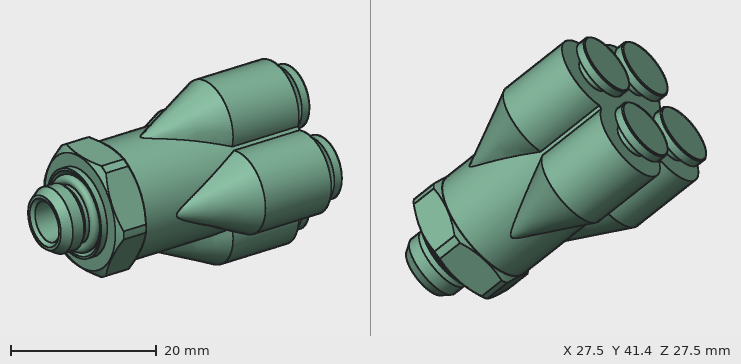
import cadquery as cq
import math


total_length = 41.4
thread_start = 1.4
thread_end = 3.25
neck_start = 3.97
collar_start = 5.0
hex_start = 6.0
hex_end = 11.05
outlet_start = 27.45
outlet_end = 38.5
cap_start = 40.0

tip_radius = 3.95
thread_radius = 4.8
neck_radius = 4.15
bore_radius = 2.95
bore_mouth_radius = 3.48
bore_chamfer_length = 0.5
bore_depth = hex_end

ring_wire_diameter = 1.45
ring_wire_radius = ring_wire_diameter / 2
ring_mid_radius = neck_radius + ring_wire_radius
ring_center_y = collar_start
collar_radius = 6.45
seat_mouth_radius = 6.13
seat_floor_y = ring_center_y + ring_wire_radius
seat_floor_radius = seat_mouth_radius - (seat_floor_y - collar_start)

hex_sides = 6
hex_across_flats = 17.0
hex_corner_radius = 9.5
hex_face_radius = 8.4
hex_chamfer_angle = 30.0

core_radius = hex_across_flats / 2
outlet_count = 4
outlet_radius = 6.0
outlet_offset = 7.75
outlet_half_angle = 25.0

stem_radius = 2.55
stem_chamfer = 0.15
cap_radius = 4.6
cap_chamfer = 0.15


def turned(points):
    """Body of revolution around the Y axis from straight-sided (radius, y) points."""
    return cq.Workplane("XY").polyline(points).close().revolve(360, (0, 0, 0), (0, 1, 0))


def make_stud():
    """Threaded end with its chamfered tip, the neck and the collar with the ring seat."""
    return turned([
        (0, 0),
        (tip_radius, 0),
        (thread_radius, thread_start),
        (thread_radius, thread_end),
        (neck_radius, neck_start),
        (neck_radius, seat_floor_y),
        (seat_floor_radius, seat_floor_y),
        (seat_mouth_radius, collar_start),
        (collar_radius, collar_start),
        (collar_radius, hex_start),
        (0, hex_start),
    ])


def make_hexagon():
    """Hexagon with corners on the X axis, rounded corners and chamfered ends."""
    across_corners = hex_across_flats / math.cos(math.pi / hex_sides)
    prism = (
        cq.Workplane("XZ", origin=(0, hex_start, 0))
        .polygon(hex_sides, across_corners)
        .extrude(hex_start - hex_end)
    )
    chamfer_length = (hex_corner_radius - hex_face_radius) * math.tan(math.radians(hex_chamfer_angle))
    envelope = turned([
        (0, hex_start),
        (hex_face_radius, hex_start),
        (hex_corner_radius, hex_start + chamfer_length),
        (hex_corner_radius, hex_end - chamfer_length),
        (hex_face_radius, hex_end),
        (0, hex_end),
    ])
    return prism.intersect(envelope)


def make_core():
    """Round core that carries the outlets."""
    return turned([
        (0, hex_end),
        (core_radius, hex_end),
        (core_radius, outlet_end),
        (0, outlet_end),
    ])


def make_outlet(angle):
    """One outlet with its cone, cylinder and release collet, turned to its place around Y."""
    cone_length = outlet_radius / math.tan(math.radians(outlet_half_angle))
    outlet = turned([
        (0, outlet_start - cone_length),
        (outlet_radius, outlet_start),
        (outlet_radius, outlet_end),
        (stem_radius, outlet_end),
        (stem_radius, cap_start - stem_chamfer),
        (stem_radius - stem_chamfer, cap_start),
        (cap_radius, cap_start),
        (cap_radius, total_length - cap_chamfer),
        (cap_radius - cap_chamfer, total_length),
        (0, total_length),
    ])
    return outlet.translate((outlet_offset, 0, 0)).rotate((0, 0, 0), (0, 1, 0), angle)


def make_bore():
    """Blind bore in the stud with a chamfered mouth."""
    return turned([
        (0, 0),
        (bore_mouth_radius, 0),
        (bore_radius, bore_chamfer_length),
        (bore_radius, bore_depth),
        (0, bore_depth),
    ])


def make_fitting():
    """Complete fitting body."""
    body = make_core().union(make_hexagon()).union(make_stud())
    for index in range(outlet_count):
        body = body.union(make_outlet(index * 360 / outlet_count))
    return body.cut(make_bore()).solids()


def make_sealing_ring():
    """O-ring around the neck, resting on the floor of the collar seat."""
    wire = cq.Workplane("XY").center(ring_mid_radius, ring_center_y).circle(ring_wire_radius)
    return wire.revolve(360, (-ring_mid_radius, 0, 0), (-ring_mid_radius, 1, 0))


fitting = make_fitting()
sealing_ring = make_sealing_ring()
result = cq.Compound.makeCompound([fitting.val(), sealing_ring.val()])